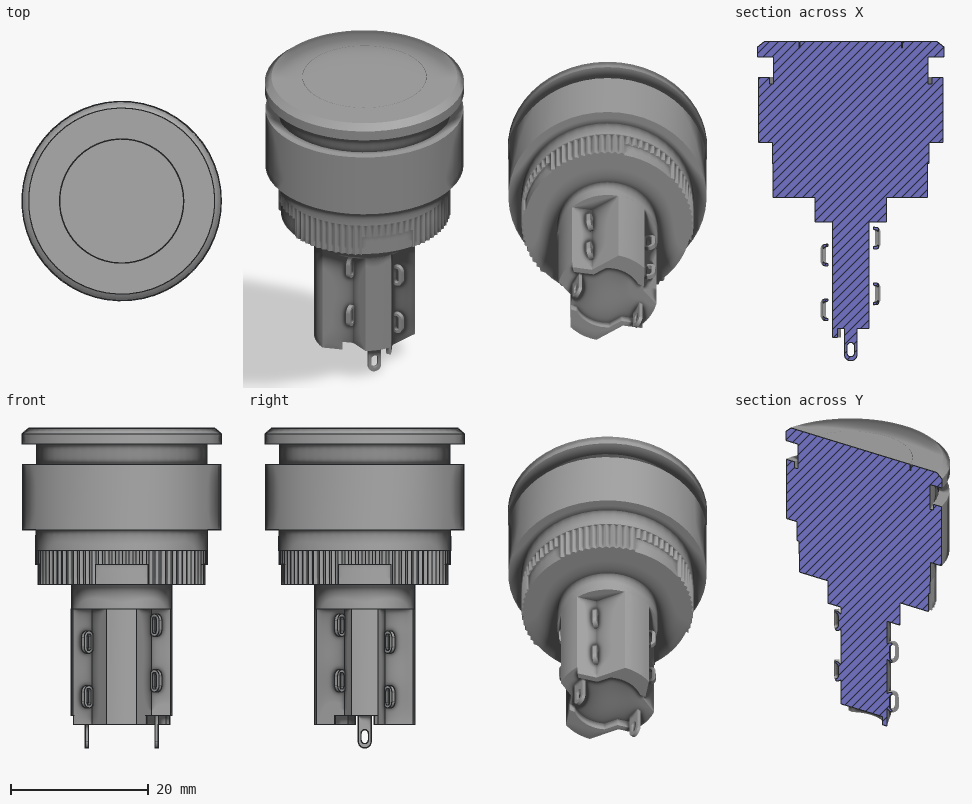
import cadquery as cq
import math

total_height = 46.5
flange_thickness = 2.32
flange_bottom = total_height - flange_thickness
ring_top = 41.25
ring_bottom = 31.7
knurl_top = 28.7
window_top = 26.7
knurl_bottom = 23.75
lobes_top = 20.15
pocket_top = 4.7
base = 3.4

flange_diameter = 29.0
bevel_width = 0.98
bevel_height = 0.85
bezel_diameter = 18.1
button_diameter = 18.0
button_gap_depth = 0.95
neck_diameter = 24.8
ring_diameter = 28.8
ring_bore = 25.75
ring_gap_depth = 0.95
collar_diameter = 25.0
barrel_diameter = 14.6

clearance = 0.45

tooth_count = 78
knurl_turn = 0.5
knurl_root_radius = 12.2
window_radius = 12.15
window_width = 7.65

lobe_radius = 7.35
x_lobe_half_width = 1.9
y_lobe_half_width = 2.2
notch_x = 4.3
notch_y = 2.97

slot_half_width = 1.35
pocket_end_x = 6.4
pocket_corner_x = 3.7
pocket_corner_y = 2.4
pocket_edge_x = 2.75
pocket_edge_y = 4.25
wall_end_x = 3.55
wall_end_y = 4.35

lug_width = 1.85
lug_direction = 42
lug_height = 3.25
lug_thickness = 0.6
lug_hole_width = 0.8
lug_hole_height = 2.4
lug_embedding = 0.1
high_lug_centers = (17.85, 9.75)
low_lug_centers = (15.4, 7.45)

terminal_x = 5.05
terminal_width = 1.9
terminal_thickness = 0.5
terminal_hole_width = 1.0
terminal_hole_height = 2.0
terminal_hole_bottom = 0.65


def cylinder(diameter, bottom, top):
    return cq.Workplane("XY").workplane(offset=bottom).circle(diameter / 2).extrude(top - bottom)


def upright_slot(plane, width, height, thickness):
    """Slot shape standing along Z, centred on the origin of the plane."""
    return cq.Workplane(plane).slot2D(height, width, 90).extrude(thickness / 2, both=True)


def make_head():
    flange = cylinder(flange_diameter, flange_bottom, total_height).faces(">Z").chamfer(bevel_height, bevel_width)
    gap_floor = total_height - button_gap_depth
    gap = cylinder(bezel_diameter, gap_floor, total_height)
    gap = gap.cut(cylinder(button_diameter, gap_floor, total_height))
    neck = cylinder(neck_diameter, ring_top - ring_gap_depth, flange_bottom)
    ring = cylinder(ring_diameter, ring_bottom, ring_top)
    ring = ring.cut(cylinder(ring_bore, ring_top - ring_gap_depth, ring_top))
    collar = cylinder(collar_diameter, knurl_top, ring_bottom)
    return flange.cut(gap).union(neck).union(ring).union(collar)


def make_knurl():
    """Skirt of V-shaped teeth, with four toothless windows in its lower part."""
    tip_radius = collar_diameter / 2
    half_pitch = math.pi / tooth_count
    first_tip = math.radians(knurl_turn)
    outline = []
    for i in range(2 * tooth_count):
        radius = tip_radius if i % 2 == 0 else knurl_root_radius
        angle = first_tip + i * half_pitch
        outline.append((radius * math.cos(angle), radius * math.sin(angle)))
    knurl = cq.Workplane("XY").workplane(offset=knurl_bottom).polyline(outline).close()
    knurl = knurl.extrude(knurl_top - knurl_bottom)
    window_size = (collar_diameter + clearance, window_width, window_top - knurl_bottom)
    for turn in (0, 90):
        window = cq.Workplane("XY").box(*window_size, centered=(True, True, False))
        window = window.translate((0, 0, knurl_bottom)).rotate((0, 0, 0), (0, 0, 1), turn)
        knurl = knurl.cut(window)
    return knurl.union(cylinder(2 * window_radius, knurl_bottom, knurl_top))


def make_housing():
    """Barrel with a four-lobed lower part whose lobes end just outside the barrel surface."""
    x_lobe_edge = math.sqrt(lobe_radius**2 - x_lobe_half_width**2)
    y_lobe_edge = math.sqrt(lobe_radius**2 - y_lobe_half_width**2)
    lobes = (
        cq.Workplane("XY").workplane(offset=base)
        .moveTo(x_lobe_edge, -x_lobe_half_width)
        .threePointArc((lobe_radius, 0), (x_lobe_edge, x_lobe_half_width))
        .lineTo(notch_x, notch_y)
        .lineTo(y_lobe_half_width, y_lobe_edge)
        .threePointArc((0, lobe_radius), (-y_lobe_half_width, y_lobe_edge))
        .lineTo(-notch_x, notch_y)
        .lineTo(-x_lobe_edge, x_lobe_half_width)
        .threePointArc((-lobe_radius, 0), (-x_lobe_edge, -x_lobe_half_width))
        .lineTo(-notch_x, -notch_y)
        .lineTo(-y_lobe_half_width, -y_lobe_edge)
        .threePointArc((0, -lobe_radius), (y_lobe_half_width, -y_lobe_edge))
        .lineTo(notch_x, -notch_y)
        .close()
        .extrude(lobes_top - base)
    )
    return cylinder(barrel_diameter, lobes_top, knurl_bottom).union(lobes)


def make_pocket():
    """Recess in the underside, open through both X lobes and two opposite notches."""
    depth = pocket_top - base
    arc_radius = math.hypot(pocket_edge_x, pocket_edge_y)
    mouth_x = lobe_radius + clearance
    mouth_y = slot_half_width + mouth_x - pocket_end_x
    plane = cq.Workplane("XY").workplane(offset=base)
    pocket = (
        plane.moveTo(mouth_x, -mouth_y)
        .lineTo(mouth_x, mouth_y)
        .lineTo(pocket_end_x, slot_half_width)
        .lineTo(pocket_corner_x, pocket_corner_y)
        .lineTo(pocket_edge_x, pocket_edge_y)
        .threePointArc((0, arc_radius), (-pocket_edge_x, pocket_edge_y))
        .lineTo(-pocket_corner_x, pocket_corner_y)
        .lineTo(-pocket_end_x, slot_half_width)
        .lineTo(-mouth_x, mouth_y)
        .lineTo(-mouth_x, -mouth_y)
        .lineTo(-pocket_end_x, -slot_half_width)
        .lineTo(-pocket_corner_x, -pocket_corner_y)
        .lineTo(-pocket_edge_x, -pocket_edge_y)
        .threePointArc((0, -arc_radius), (pocket_edge_x, -pocket_edge_y))
        .lineTo(pocket_corner_x, -pocket_corner_y)
        .lineTo(pocket_end_x, -slot_half_width)
        .close()
        .extrude(depth)
    )
    for side in (1, -1):
        opening = [
            (-mouth_x * side, 0),
            (-mouth_x * side, wall_end_y * side),
            (-wall_end_x * side, wall_end_y * side),
            (-pocket_edge_x * side, pocket_edge_y * side),
            (-pocket_edge_x * side, 0),
        ]
        pocket = pocket.union(plane.polyline(opening).close().extrude(depth))
    return pocket


def make_lug(x_side, y_side, center_height):
    """Pierced lug standing slantwise out of one notch corner."""
    lug = upright_slot("XZ", lug_width, lug_height, lug_thickness)
    lug = lug.cut(upright_slot("XZ", lug_hole_width, lug_hole_height, lug_thickness))
    lug = lug.translate((lug_width / 2 - lug_embedding, 0, center_height))
    turn = x_side * y_side * lug_direction
    if x_side < 0:
        turn += 180
    return lug.rotate((0, 0, 0), (0, 0, 1), turn).translate((x_side * notch_x, y_side * notch_y, 0))


def make_terminal(x):
    """Flat blade with a rounded, pierced tip at height zero."""
    tip_radius = terminal_width / 2
    size = (terminal_thickness, terminal_width, pocket_top - tip_radius)
    blade = cq.Workplane("XY").box(*size, centered=(True, True, False)).translate((0, 0, tip_radius))
    tip = cq.Workplane("YZ").center(0, tip_radius).circle(tip_radius)
    tip = tip.extrude(terminal_thickness / 2, both=True)
    hole = upright_slot("YZ", terminal_hole_width, terminal_hole_height, terminal_thickness)
    hole = hole.translate((0, 0, terminal_hole_bottom + terminal_hole_height / 2))
    return blade.union(tip).cut(hole).translate((x, 0, 0))


result = make_head().union(make_knurl()).union(make_housing()).cut(make_pocket())
for x_side in (1, -1):
    for y_side in (1, -1):
        centers = low_lug_centers if x_side == y_side else high_lug_centers
        for center_height in centers:
            result = result.union(make_lug(x_side, y_side, center_height))
    result = result.union(make_terminal(x_side * terminal_x))